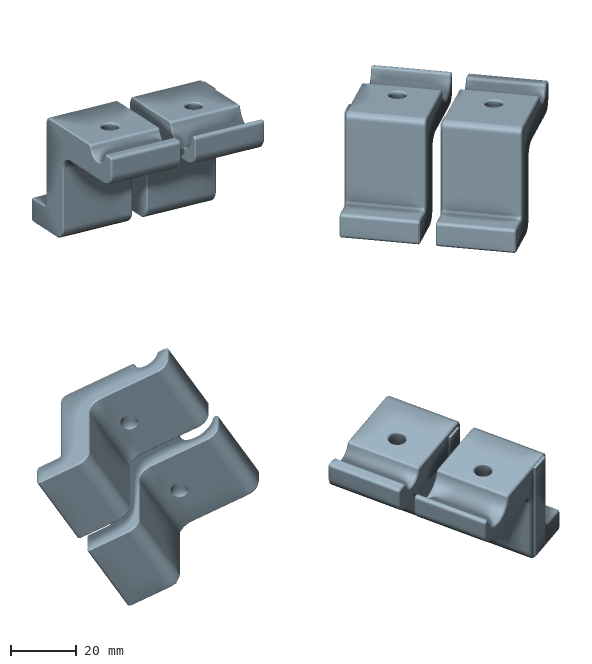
import cadquery as cq
import math

height = 38.0
foot_height = 8.0
wall_x = 8.5
thickness = 10.0
small_round = 1.0
top_round = 2.0
large_round = 4.0
groove_x = 38.45

depth = 25.0
pitch = 30.0
narrow_groove_radius = 4.0
wide_groove_radius = 6.0

edge_chamfer = 0.4
hole_diameter = 5.4
hole_x = 25.5

pad_height = 0.8
front_pad_x = (10.55, 15.95)
front_pad_z = (2.8, 36.6)
rear_pad_x = (10.45, 16.6)
rear_pad_z = (1.9, 37.5)


def mouth_half_width(groove_radius):
    """Distance from the groove axis to where its rounded mouth meets the top."""
    return math.sqrt((groove_radius + small_round) ** 2 - small_round ** 2)


width = groove_x + mouth_half_width(wide_groove_radius) + small_round
inner_x = wall_x + thickness
arm_z = height - thickness


def bracket_section(groove_radius):
    """Closed stepped outline with rounded corners and the groove in its top."""
    half_mouth = mouth_half_width(groove_radius)
    share = groove_radius / (groove_radius + small_round)
    tangent_dx = half_mouth * share
    tangent_z = height - small_round * share
    lip_x = width - small_round

    outline = (
        cq.Workplane("XZ")
        .moveTo(0, small_round)
        .lineTo(0, foot_height - small_round)
        .tangentArcPoint((small_round, foot_height), relative=False)
        .lineTo(wall_x - small_round, foot_height)
        .tangentArcPoint((wall_x, foot_height + small_round), relative=False)
        .lineTo(wall_x, height - top_round)
        .tangentArcPoint((wall_x + top_round, height), relative=False)
        .lineTo(groove_x - half_mouth, height)
        .tangentArcPoint((groove_x - tangent_dx, tangent_z), relative=False)
        .threePointArc((groove_x, height - groove_radius), (groove_x + tangent_dx, tangent_z))
        .tangentArcPoint((groove_x + half_mouth, height), relative=False)
    )
    if groove_radius < wide_groove_radius:
        outline = outline.lineTo(lip_x, height)
    return (
        outline
        .tangentArcPoint((width, height - small_round), relative=False)
        .lineTo(width, arm_z + large_round)
        .tangentArcPoint((width - large_round, arm_z), relative=False)
        .lineTo(inner_x + large_round, arm_z)
        .tangentArcPoint((inner_x, arm_z - large_round), relative=False)
        .lineTo(inner_x, large_round)
        .tangentArcPoint((inner_x - large_round, 0), relative=False)
        .lineTo(small_round, 0)
        .tangentArcPoint((0, small_round), relative=False)
        .close()
    )


def screw_hole():
    """Vertical cutter through the arm, flared by the chamfer at the top."""
    radius = hole_diameter / 2
    return (
        cq.Workplane("XZ", origin=(hole_x, depth / 2, 0))
        .moveTo(0, arm_z)
        .lineTo(radius, arm_z)
        .lineTo(radius, height - edge_chamfer)
        .lineTo(radius + edge_chamfer, height)
        .lineTo(0, height)
        .close()
        .revolve(360, (0, 0, 0), (0, 1, 0))
    )


def back_pad(pad_x, pad_z):
    """Thin raised rectangle on the back face."""
    return cq.Workplane("XY").box(
        pad_x[1] - pad_x[0], pad_height, pad_z[1] - pad_z[0], centered=False
    ).translate((pad_x[0], depth, pad_z[0]))


def bracket(groove_radius, pad_x, pad_z):
    """Bracket with chamfered end faces, its front face at Y = 0."""
    body = bracket_section(groove_radius).extrude(-depth)
    body = body.faces("<Y or >Y").chamfer(edge_chamfer)
    return body.cut(screw_hole()).union(back_pad(pad_x, pad_z))


narrow_groove_bracket = bracket(narrow_groove_radius, front_pad_x, front_pad_z)
wide_groove_bracket = bracket(wide_groove_radius, rear_pad_x, rear_pad_z).translate((0, pitch, 0))

result = cq.Compound.makeCompound([narrow_groove_bracket.val(), wide_groove_bracket.val()])